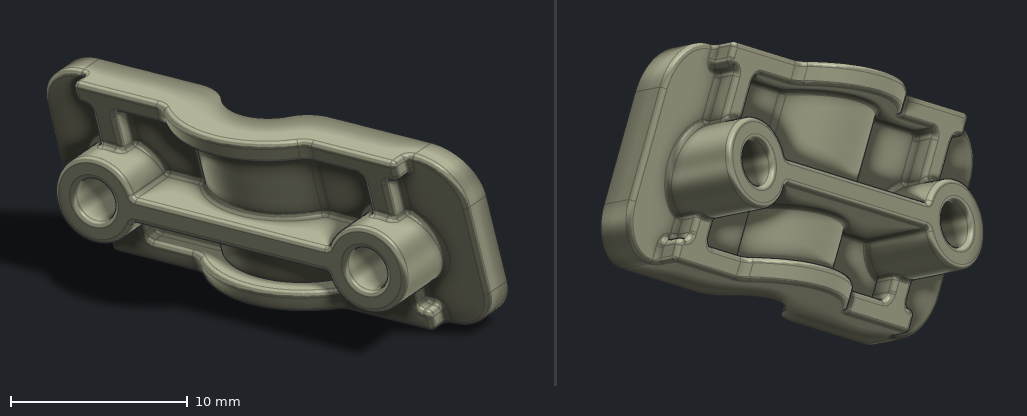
import cadquery as cq
import math

TILT = 20.0
PLATE_LENGTH = 27.96
PLATE_SLANT_HEIGHT = 13.0
PLATE_CORNER_RADIUS = 3.0
PLATE_THICKNESS = 2.0
FRAME_THICKNESS = 3.37

GROOVE_DEPTH = 2.2
GROOVE_RADIUS = 2.75
GROOVE_LIP_RADIUS = 2.5
FLANGE_BULGE_BLEND = 1.0

FLANGE_LENGTH = 21.3
FLANGE_HEIGHT = 1.37
UPRIGHT_WIDTH = 1.5
FLANGE_END_RADIUS = 0.4
WINDOW_CORNER_RADIUS = 0.5

BOSS_SPACING = 18.0
BOSS_Z = -0.8
BOSS_RADIUS = 2.63
BOSS_FRONT_Y = -6.11
HOLE_RADIUS = 1.33
RIB_HEIGHT = 1.5

GRIP_RISE = 0.63
GRIP_HEIGHT = 1.2
GRIP_TOP_Z = 2.5

EDGE_RADIUS = 0.3

HALF_HEIGHT = PLATE_SLANT_HEIGHT * math.cos(math.radians(TILT)) / 2
BOSS_X = BOSS_SPACING / 2
GROOVE_AXIS_Y = GROOVE_RADIUS - GROOVE_DEPTH
SHELL_RADIUS = GROOVE_RADIUS + PLATE_THICKNESS
SHELL_DEPTH = GROOVE_DEPTH + PLATE_THICKNESS
SHELL_BLEND = GROOVE_LIP_RADIUS - PLATE_THICKNESS

REACH = 15.0
MARGIN = 0.1


def lean(body, angle=TILT):
    """Tip a body about the X axis."""
    return body.rotate((0, 0, 0), (1, 0, 0), angle)


def edge_box(half_width, y_range, z_range=(-REACH, REACH), x_start=None):
    """Selector for edges centred in a box, symmetric about X = 0 unless x_start is given."""
    if x_start is None:
        x_start = -half_width
    return cq.selectors.BoxSelector(
        (x_start, y_range[0], z_range[0]),
        (half_width, y_range[1], z_range[1]),
    )


def slab(y_back, y_front):
    """Wide upright slab between two depths."""
    size = 2 * REACH
    return cq.Workplane("XY").box(size, y_back - y_front, size).translate((0, (y_back + y_front) / 2, 0))


def groove_cylinder(radius):
    """Upright cylinder on the groove axis."""
    return cq.Workplane("XY").center(0, GROOVE_AXIS_Y).circle(radius).extrude(REACH, both=True)


def bar(width, height, z=0.0):
    """Bar through the whole depth, symmetric about X = 0."""
    return cq.Workplane("XY").box(width, 2 * REACH, height).translate((0, 0, z))


def boss_cylinder(radius, side, y_front):
    """Cylinder along Y on one of the two boss axes, open-ended towards the back."""
    plane = cq.Plane(origin=(side * BOSS_X, y_front, BOSS_Z), xDir=(1, 0, 0), normal=(0, 1, 0))
    return cq.Workplane(plane).circle(radius).extrude(2 * REACH)


def space_behind_front(thickness):
    """Upright body behind a front lying at one thickness off the flat back and the groove."""
    return slab(REACH, -thickness).union(groove_cylinder(GROOVE_RADIUS + thickness))


def space_before_back():
    """Leaning body in front of the back face, hollowed by the round-lipped groove."""
    space = slab(0, -REACH).cut(groove_cylinder(GROOVE_RADIUS))
    lips = edge_box(GROOVE_RADIUS, (-MARGIN, MARGIN))
    return lean(space.edges("|Z").edges(lips).fillet(GROOVE_LIP_RADIUS))


def make_plate():
    outline = bar(PLATE_LENGTH, 2 * HALF_HEIGHT).edges("|Y").fillet(PLATE_CORNER_RADIUS)
    return outline.intersect(lean(space_behind_front(PLATE_THICKNESS)))


def make_frame():
    """Top and bottom flanges joined by two upright ribs."""
    outline = bar(BOSS_SPACING + UPRIGHT_WIDTH, 2 * HALF_HEIGHT)
    flange_z = HALF_HEIGHT - FLANGE_HEIGHT / 2
    for side in (-1, 1):
        outline = outline.union(bar(FLANGE_LENGTH, FLANGE_HEIGHT, side * flange_z))
    flange_ends = edge_box(FLANGE_LENGTH, (-REACH, REACH), (-flange_z, flange_z))
    outline = outline.edges("|Y").edges(flange_ends).fillet(FLANGE_END_RADIUS)

    window = bar(BOSS_SPACING - UPRIGHT_WIDTH, 2 * (HALF_HEIGHT - FLANGE_HEIGHT))
    outline = outline.cut(window.edges("|Y").fillet(WINDOW_CORNER_RADIUS))

    front = space_behind_front(FRAME_THICKNESS)
    flat_front = (-FRAME_THICKNESS - MARGIN, MARGIN - FRAME_THICKNESS)
    bulge_roots = edge_box(GROOVE_RADIUS + FRAME_THICKNESS, flat_front)
    front = front.edges("|Z").edges(bulge_roots).fillet(FLANGE_BULGE_BLEND)
    return outline.intersect(lean(front))


def make_bosses():
    """Two round bosses joined by a level rib, their fronts flush."""
    bosses = bar(BOSS_SPACING, RIB_HEIGHT, BOSS_Z).translate((0, REACH + BOSS_FRONT_Y, 0))
    for side in (-1, 1):
        bosses = bosses.union(boss_cylinder(BOSS_RADIUS, side, BOSS_FRONT_Y))
    return bosses


def drill_holes(body):
    for side in (-1, 1):
        body = body.cut(boss_cylinder(HOLE_RADIUS, side, -REACH))
    return body


def round_front_edges(body):
    """Blend the shell into the plate above the rib, then round the front edges and inside corners.

    The lower stretch of the shell keeps sharp roots against the plate and the bottom flange,
    and so does the wall around the lower right window.
    """
    upright = lean(body, -TILT)
    front_limit = MARGIN - PLATE_THICKNESS
    plate_front = (-PLATE_THICKNESS - MARGIN, front_limit)
    upper_roots = edge_box(SHELL_RADIUS, plate_front, (BOSS_Z, REACH))
    upright = upright.edges("|Z").edges(upper_roots).fillet(SHELL_BLEND)
    lower_roots = edge_box(SHELL_RADIUS, (-SHELL_DEPTH, front_limit), (-REACH, BOSS_Z))
    window_side = (BOSS_SPACING - UPRIGHT_WIDTH) / 2 + MARGIN
    right_roots = edge_box(window_side, plate_front, (MARGIN - HALF_HEIGHT, -HALF_HEIGHT / 2), x_start=0)
    front_edges = edge_box(REACH, (-REACH, front_limit))
    return lean(upright.edges(front_edges - lower_roots - right_roots).fillet(EDGE_RADIUS))


def add_grip(body):
    """Flat-topped ridge across the bottom of the groove, rounded along its top edge and upper root."""
    ridge_y = GRIP_RISE - GROOVE_DEPTH
    half_width = math.sqrt(GROOVE_RADIUS**2 - (GROOVE_RADIUS - GRIP_RISE) ** 2)
    ridge = lean(slab(ridge_y, -SHELL_DEPTH).intersect(groove_cylinder(GROOVE_RADIUS + MARGIN)))
    ridge = ridge.intersect(bar(2 * GROOVE_RADIUS, GRIP_HEIGHT, GRIP_TOP_Z - GRIP_HEIGHT / 2))
    upright = lean(body.union(ridge), -TILT)
    depth_range = (-GROOVE_DEPTH, ridge_y + MARGIN)
    top_edges = edge_box(half_width + MARGIN, depth_range, (GRIP_TOP_Z, HALF_HEIGHT))
    return lean(upright.edges(top_edges).edges("not |Z").fillet(EDGE_RADIUS))


result = make_plate().union(make_frame()).union(make_bosses()).intersect(space_before_back())
result = drill_holes(result)
result = round_front_edges(result)
result = add_grip(result)